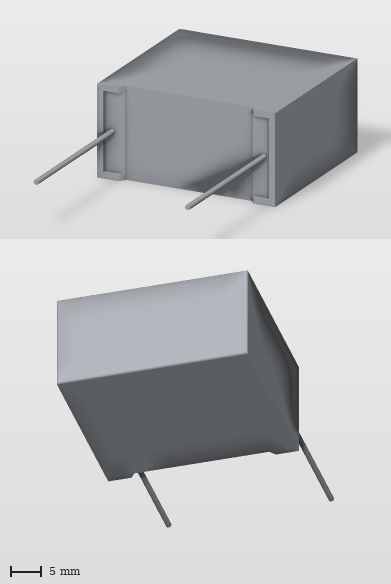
import cadquery as cq

width = 32.3
height = 16.2
total_depth = 57.1
lead_reach = 26.95
housing_depth = total_depth - lead_reach

wall = 1.1
back_fillet = 0.4
foot_width = 3.95
recess_depth = 1.1
recess_slope = 0.8
panel_thickness = wall

resin_set_back = 0.8

lead_diameter = 0.9
lead_spacing = 27.5

inner_width = width - 2 * wall
inner_height = height - 2 * wall
window_width = foot_width + recess_slope * resin_set_back / recess_depth - wall
window_x = inner_width / 2 - window_width / 2
cavity_front = recess_depth + panel_thickness
cavity_back = housing_depth - wall
sides = (-1, 1)


def block(size_x, size_z, y_start, y_end, x=0):
    """Box centred on Z = 0 that runs from y_start to y_end."""
    depth = y_end - y_start
    return cq.Workplane("XY").box(size_x, depth, size_z).translate((x, y_start + depth / 2, 0))


def make_resin():
    """Filling of the cavity, with a raised pad in each window."""
    resin = block(inner_width, inner_height, cavity_front, cavity_back)
    for side in sides:
        pad = block(window_width, inner_height, resin_set_back, cavity_front, side * window_x)
        resin = resin.union(pad)
    return resin


def make_recess():
    """Full-height trapezoidal recess between the two feet."""
    mouth = width / 2 - foot_width
    floor = mouth - recess_slope
    return (
        cq.Workplane("XY")
        .workplane(offset=-height / 2)
        .polyline([(-mouth, 0), (mouth, 0), (floor, recess_depth), (-floor, recess_depth)])
        .close()
        .extrude(height)
    )


def make_housing():
    """Box with a rounded back edge, a recessed front and a window in each foot."""
    housing = block(width, height, 0, housing_depth).faces(">Y").edges().fillet(back_fillet)
    housing = housing.cut(make_recess())
    for side in sides:
        housing = housing.cut(block(window_width, inner_height, 0, cavity_front, side * window_x))
    return housing.cut(block(inner_width, inner_height, cavity_front, cavity_back))


def make_lead(x):
    """Straight round wire that starts on the resin face."""
    return (
        cq.Workplane("XZ", origin=(x, resin_set_back, 0))
        .circle(lead_diameter / 2)
        .extrude(resin_set_back + lead_reach)
    )


housing = make_housing()
resin = make_resin()
leads = [make_lead(side * lead_spacing / 2).val() for side in sides]

result = cq.Compound.makeCompound([housing.val(), resin.val(), *leads])